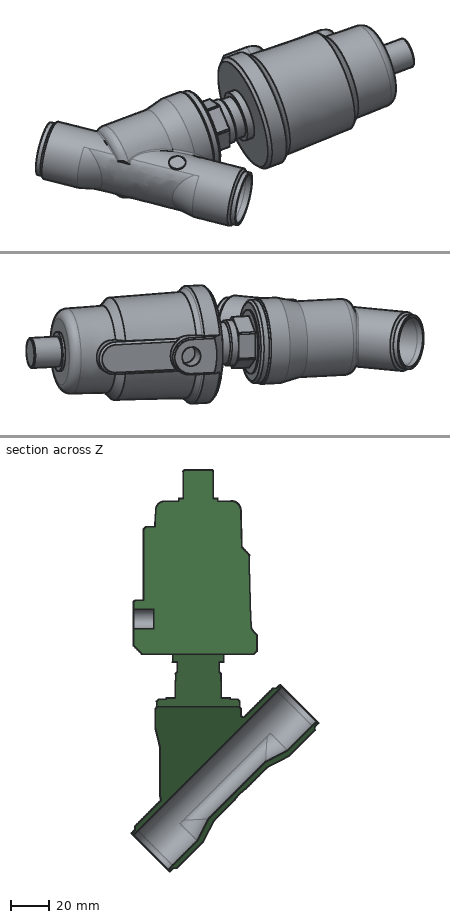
import cadquery as cq
import math


PIPE_ANGLE = 45.0
PIPE_R = 15.6
PIPE_WALL = 2.7
BORE_R = PIPE_R - PIPE_WALL
INLET_END = -35.3
OUTLET_END = 75.2
PIPE_MIDDLE = (INLET_END + OUTLET_END) / 2
SPIGOT_R = 14.4
SPIGOT_LENGTH = 2.5
MOUTH_R = 13.0
MOUTH_DEPTH = 3.4
SPIGOT_SHOULDER = PIPE_R - SPIGOT_R

WAIST_HALF_LENGTH = 31.9
WAIST_OFFSET = 4.6
WAIST_DEPTH_R = 11.6
WAIST_EDGE_RUN = 2.5
WAIST_CREST_RUN = 12.5
BORE_WAIST_HALF_LENGTH = WAIST_HALF_LENGTH + 1.7
BORE_WAIST_DEPTH_R = WAIST_DEPTH_R - PIPE_WALL

BOSS_R = 4.5
BOSS_PLACE = 38.5
BOSS_TOP = 15.8

BARREL_R = 20.0
BARREL_BOTTOM = 0.2
BARREL_BOTTOM_FILLET = 4.9
TAPER_START = 30.2
TAPER_END = 40.5
COLLAR_R = 22.5
BODY_TOP = 51.5
BODY_TOP_CHAMFER = 0.8
BARREL_TRIM = 7.2
OUTLET_BLEND_R = 1.0
INLET_BLEND_R = 0.6

CAP_R = 22.0
CAP_TOP = 55.7
CAP_CHAMFER = 1.3
HEX_BOTTOM = 56.4
HEX_SEAT_R = 16.9
HEX_SIDES = 6
HEX_FLATS = 24.3
HEX_CORNER_R = 13.7
HEX_TOP = 65.5
SHOULDER_R = 12.0
SHOULDER_TOP = 69.9
SHOULDER_CHAMFER = 0.8
NECK_R = 11.2
NECK_TOP = 75.2
BONNET_FLANGE_R = 13.5

ACTUATOR_BOTTOM = 79.2
FLANGE_R = 31.0
FLANGE_CHAMFER = 1.7
FLANGE_TOP = 90.4
FLANGE_TOP_CHAMFER = 1.0
CYLINDER_BOTTOM = 92.9
CYLINDER_BOTTOM_R = 28.0
CYLINDER_TOP = 131.3
CYLINDER_TOP_R = 27.0
DOME_BOTTOM = 135.5
DOME_BOTTOM_R = 23.0
DOME_TOP = 159.8
DOME_TOP_R = 22.4
DOME_FILLET = 5.0
STEM_COLLAR_R = 10.3
STEM_COLLAR_TOP = 161.0
STEM_R = 8.0
STEM_TOP = 176.0
STEM_CHAMFER = 0.6

DUCT_FACE = 28.7
DUCT_R = 8.7
DUCT_CHAMFER = 1.3
DUCT_END_CENTER = 137.6
LUG_FACE = 34.0
LUG_R = 10.0
LUG_CHAMFER = 0.8
PORT_CENTER = 97.7
PORT_R = 5.0
PORT_DEPTH = 10.5


def turned(points):
    """Solid of revolution about the Y axis from (radius, y) points."""
    outline = cq.Workplane("XY").polyline(points).close()
    return outline.revolve(360, (0, 0, 0), (0, 1, 0))


def disc(radius, bottom, top):
    """Cylinder on the Y axis between two heights."""
    return turned([(0, bottom), (radius, bottom), (radius, top), (0, top)])



def cone_limit():
    """Solid whose lower conical side trims the lug in line with the flange chamfer."""
    rise = 2 * FLANGE_R
    base_r = FLANGE_R - FLANGE_CHAMFER
    return turned([
        (0, ACTUATOR_BOTTOM),
        (base_r, ACTUATOR_BOTTOM),
        (base_r + rise, ACTUATOR_BOTTOM + rise),
        (base_r + rise, DOME_TOP),
        (0, DOME_TOP),
    ])


def round_ended_rib(face, half_width, end_center, chamfer):
    """Rib reaching from the axis out to the face at -X, round at its upper end."""
    length = end_center - ACTUATOR_BOTTOM
    center = ACTUATOR_BOTTOM + length / 2
    bar = cq.Workplane("XY").box(face, length, 2 * half_width).translate((-face / 2, center, 0))
    end = (
        cq.Workplane("YZ", origin=(-face, 0, 0))
        .center(end_center, 0)
        .circle(half_width)
        .extrude(face)
    )
    rib = bar.union(end)
    return rib.faces("<X").edges("not <Y").chamfer(chamfer)


def make_actuator():
    housing = turned([
        (0, ACTUATOR_BOTTOM),
        (FLANGE_R - FLANGE_CHAMFER, ACTUATOR_BOTTOM),
        (FLANGE_R, ACTUATOR_BOTTOM + FLANGE_CHAMFER),
        (FLANGE_R, FLANGE_TOP - FLANGE_TOP_CHAMFER),
        (FLANGE_R - FLANGE_TOP_CHAMFER, FLANGE_TOP),
        (CYLINDER_BOTTOM_R, CYLINDER_BOTTOM),
        (CYLINDER_TOP_R, CYLINDER_TOP),
        (DOME_BOTTOM_R, DOME_BOTTOM),
        (DOME_TOP_R, DOME_TOP),
        (0, DOME_TOP),
    ])
    housing = housing.faces(">Y").edges().fillet(DOME_FILLET)
    stem = disc(STEM_R, DOME_TOP, STEM_TOP).faces(">Y").edges().chamfer(STEM_CHAMFER)
    stem_collar = disc(STEM_COLLAR_R, DOME_TOP, STEM_COLLAR_TOP)
    duct = round_ended_rib(DUCT_FACE, DUCT_R, DUCT_END_CENTER, DUCT_CHAMFER)
    lug = round_ended_rib(LUG_FACE, LUG_R, PORT_CENTER, LUG_CHAMFER).intersect(cone_limit())
    port = (
        cq.Workplane("YZ", origin=(-LUG_FACE, 0, 0))
        .center(PORT_CENTER, 0)
        .circle(PORT_R)
        .extrude(PORT_DEPTH)
    )
    return housing.union(stem_collar).union(stem).union(duct).union(lug).cut(port)



def make_hexagon():
    """Hexagon with two corners on the Z direction, its corners turned down."""
    corner_circle = HEX_FLATS / math.cos(math.pi / HEX_SIDES)
    prism = (
        cq.Workplane("XZ", origin=(0, HEX_BOTTOM, 0))
        .transformed(rotate=(0, 0, 90))
        .polygon(HEX_SIDES, corner_circle)
        .extrude(HEX_BOTTOM - HEX_TOP)
    )
    return prism.intersect(disc(HEX_CORNER_R, HEX_BOTTOM, HEX_TOP))


def make_bonnet():
    cap = disc(CAP_R, BODY_TOP, CAP_TOP).faces(">Y").edges().chamfer(CAP_CHAMFER)
    hex_seat = disc(HEX_SEAT_R, CAP_TOP, HEX_BOTTOM)
    shoulder = disc(SHOULDER_R, HEX_TOP, SHOULDER_TOP).faces(">Y").edges().chamfer(SHOULDER_CHAMFER)
    neck = disc(NECK_R, SHOULDER_TOP, NECK_TOP)
    flange = disc(BONNET_FLANGE_R, NECK_TOP, ACTUATOR_BOTTOM)
    return cap.union(hex_seat).union(make_hexagon()).union(shoulder).union(neck).union(flange)



def segment(edge_x, crest_x, offset, crest, half_width):
    """Closed wire of a chord at y = -offset and an arc bulging to y = -crest."""
    lower = cq.Vector(edge_x, -offset, -half_width)
    upper = cq.Vector(edge_x, -offset, half_width)
    arc = cq.Edge.makeThreePointArc(lower, cq.Vector(crest_x, -crest, 0), upper)
    return cq.Wire.assembleEdges([arc, cq.Edge.makeLine(upper, lower)])


def waisted_rod(radius, start, end, offset, depth_r, half_length):
    """Rod along X whose -Y side is flattened over the waist, with sloped ends."""
    half_width = math.sqrt(radius**2 - offset**2)
    rod = cq.Workplane("YZ", origin=(start, 0, 0)).circle(radius).extrude(end - start)
    removed = (
        cq.Workplane("XY")
        .box(2 * half_length, radius, 3 * radius)
        .translate((PIPE_MIDDLE, -offset - radius / 2, 0))
    )
    rod = rod.cut(removed)

    wires = []
    for side in (-1, 1):
        outer_x = PIPE_MIDDLE + side * half_length
        edge_x = outer_x - side * WAIST_EDGE_RUN
        crest_x = outer_x - side * WAIST_CREST_RUN
        full = segment(outer_x, outer_x, offset, radius, half_width)
        flattened = segment(edge_x, crest_x, offset, depth_r, half_width)
        wires += [full, flattened] if side < 0 else [flattened, full]
    return rod.union(cq.Workplane(cq.Solid.makeLoft(wires, True)))


def make_pipe():
    start = INLET_END + SPIGOT_LENGTH
    end = OUTLET_END - SPIGOT_LENGTH
    pipe = waisted_rod(PIPE_R, start, end, WAIST_OFFSET, WAIST_DEPTH_R, WAIST_HALF_LENGTH)
    pipe = pipe.faces("<X or >X").edges().chamfer(SPIGOT_SHOULDER)
    spigots = (
        cq.Workplane("YZ", origin=(INLET_END, 0, 0))
        .circle(SPIGOT_R)
        .extrude(SPIGOT_LENGTH)
        .union(cq.Workplane("YZ", origin=(end, 0, 0)).circle(SPIGOT_R).extrude(SPIGOT_LENGTH))
    )
    return pipe.union(spigots)


def make_boss():
    return cq.Workplane("XY").center(BOSS_PLACE, 0).circle(BOSS_R).extrude(BOSS_TOP)


def make_bore():
    bore = waisted_rod(BORE_R, INLET_END, OUTLET_END, 0, BORE_WAIST_DEPTH_R, BORE_WAIST_HALF_LENGTH)
    for end, inward in ((INLET_END, 1), (OUTLET_END, -1)):
        axis = cq.Vector(inward, 0, 0)
        flare = cq.Solid.makeCone(MOUTH_R, BORE_R, MOUTH_DEPTH, cq.Vector(end, 0, 0), axis)
        bore = bore.union(cq.Workplane(flare))
    return bore


def make_barrel():
    barrel = turned([
        (0, BARREL_BOTTOM),
        (BARREL_R, BARREL_BOTTOM),
        (BARREL_R, TAPER_START),
        (COLLAR_R, TAPER_END),
        (COLLAR_R, BODY_TOP),
        (0, BODY_TOP),
    ])
    barrel = barrel.faces("<Y").edges().fillet(BARREL_BOTTOM_FILLET)
    return barrel.faces(">Y").edges().chamfer(BODY_TOP_CHAMFER)


def on_pipe_axis(shape):
    """Turn a shape built along X onto the pipe axis."""
    return shape.rotate((0, 0, 0), (0, 0, 1), PIPE_ANGLE)


def make_valve_body():
    """Barrel blended into the pipe, with the bore cut through both."""
    trim_size = 4 * BARREL_R
    trim = (
        cq.Workplane("XY")
        .box(trim_size, trim_size, trim_size)
        .translate((0, -BARREL_TRIM - trim_size / 2, 0))
    )
    barrel = make_barrel().cut(on_pipe_axis(trim))
    body = barrel.union(on_pipe_axis(make_pipe()))
    outlet_junction = cq.selectors.BoxSelector(
        (BARREL_R - PIPE_R, PIPE_R, -PIPE_R),
        (COLLAR_R, BODY_TOP, PIPE_R),
    )
    body = body.edges(outlet_junction).edges("%BSPLINE").fillet(OUTLET_BLEND_R)
    inlet_junction = cq.selectors.BoxSelector(
        (-PIPE_R, 0, -PIPE_R),
        (0, BARREL_BOTTOM_FILLET, PIPE_R),
    )
    body = body.edges(inlet_junction).edges("%BSPLINE").fillet(INLET_BLEND_R)
    return body.union(on_pipe_axis(make_boss())).cut(on_pipe_axis(make_bore()))


actuator = make_actuator()
bonnet = make_bonnet()
valve_body = make_valve_body()

result = cq.Compound.makeCompound([actuator.val(), bonnet.val(), valve_body.val()])